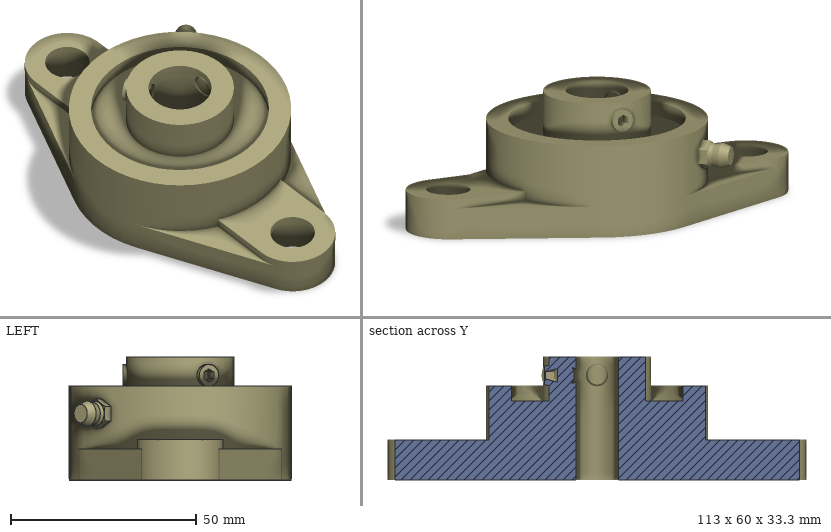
import cadquery as cq
import math

flange_length = 113.0
flange_thickness = 8.5
bolt_spacing = 90.0
bolt_hole_diameter = 12.0
pad_height = 11.0

housing_diameter = 60.0
housing_height = 25.5
recess_diameter = 48.0
recess_depth = 4.0

ring_diameter = 29.1
bore_diameter = 17.0
overall_height = 33.3

screw_diameter = 6.0
screw_angles = (90.0, 210.0)
screw_drop = 5.0
screw_outer_radius = 15.5
screw_inner_radius = 8.5
screw_tip_chamfer = 0.5
socket_across_flats = 3.0
socket_depth = 3.0

nipple_angle = 135.0
nipple_height = 18.0
nipple_root = 27.0
nipple_hex_end = 32.4
nipple_neck = 33.5
nipple_shoulder = 35.5
nipple_tip = 38.0
nipple_across_flats = 6.8
nipple_bevel_angle = 30.0
nipple_collar_diameter = 6.6
nipple_neck_diameter = 6.0
nipple_shoulder_diameter = 6.8
nipple_tip_diameter = 5.0
nipple_head_bulge = 0.1

bolt_offset = bolt_spacing / 2
ear_radius = flange_length / 2 - bolt_offset
housing_radius = housing_diameter / 2
recess_floor = housing_height - recess_depth
screw_height = overall_height - screw_drop


def radial_plane(angle, radius, height):
    """Plane facing outward at a given angle, with its local Y along +Z."""
    direction = (math.cos(math.radians(angle)), math.sin(math.radians(angle)))
    tangent = (-direction[1], direction[0], 0)
    origin = (radius * direction[0], radius * direction[1], height)
    return cq.Plane(origin=origin, xDir=tangent, normal=(direction[0], direction[1], 0))


def across_corners(across_flats):
    """Corner-to-corner size of a regular hexagon."""
    return across_flats / math.cos(math.pi / 6)


def hexagon(plane, across_flats, depth):
    """Hexagonal prism with two corners lying on the vertical through its axis."""
    return (
        cq.Workplane(plane)
        .transformed(rotate=(0, 0, 90))
        .polygon(6, across_corners(across_flats))
        .extrude(depth)
    )


def make_flange():
    """Plate with edges tangent to the housing and the ears, plus the raised ear pads."""
    lean_cos = (housing_radius - ear_radius) / bolt_offset
    lean_sin = math.sqrt(1 - lean_cos**2)
    hub_x = housing_radius * lean_cos
    hub_y = housing_radius * lean_sin
    ear_x = bolt_offset + ear_radius * lean_cos
    ear_y = ear_radius * lean_sin
    plate = (
        cq.Workplane("XY")
        .moveTo(hub_x, hub_y)
        .lineTo(ear_x, ear_y)
        .threePointArc((flange_length / 2, 0), (ear_x, -ear_y))
        .lineTo(hub_x, -hub_y)
        .lineTo(-hub_x, -hub_y)
        .lineTo(-ear_x, -ear_y)
        .threePointArc((-flange_length / 2, 0), (-ear_x, ear_y))
        .lineTo(-hub_x, hub_y)
        .close()
        .extrude(flange_thickness)
    )
    pads = cq.Workplane("XY").slot2D(flange_length, 2 * ear_radius).extrude(pad_height)
    return plate.union(pads)


def cut_bolt_holes(body):
    holes = (
        cq.Workplane("XY")
        .pushPoints([(-bolt_offset, 0), (bolt_offset, 0)])
        .circle(bolt_hole_diameter / 2)
        .extrude(pad_height)
    )
    return body.cut(holes)


def make_housing():
    """Cylindrical housing with a shallow recess around the inner ring."""
    housing = cq.Workplane("XY").circle(housing_radius).extrude(housing_height)
    recess = (
        cq.Workplane("XY")
        .workplane(offset=recess_floor)
        .circle(recess_diameter / 2)
        .extrude(recess_depth)
    )
    return housing.cut(recess)


def add_inner_ring(body):
    ring = cq.Workplane("XY").circle(ring_diameter / 2).extrude(overall_height)
    bore = cq.Workplane("XY").circle(bore_diameter / 2).extrude(overall_height)
    return body.union(ring).cut(bore)


def add_set_screw(body, angle):
    """Socket set screw in a radial hole, standing slightly proud of the ring."""
    hole_plane = radial_plane(angle, 0, screw_height)
    hole = cq.Workplane(hole_plane).circle(screw_diameter / 2).extrude(screw_outer_radius)
    screw_plane = radial_plane(angle, screw_inner_radius, screw_height)
    screw = (
        cq.Workplane(screw_plane)
        .circle(screw_diameter / 2)
        .extrude(screw_outer_radius - screw_inner_radius)
        .faces(cq.selectors.NearestToPointSelector(screw_plane.origin.toTuple()))
        .chamfer(screw_tip_chamfer)
    )
    socket_plane = radial_plane(angle, screw_outer_radius - socket_depth, screw_height)
    socket = hexagon(socket_plane, socket_across_flats, socket_depth)
    return body.cut(hole).union(screw.cut(socket))


def add_grease_nipple(body):
    """Hexagonal base carrying a turned head with a waisted neck."""
    base_plane = radial_plane(nipple_angle, nipple_root, nipple_height)
    base_length = nipple_hex_end - nipple_root
    corner_diameter = across_corners(nipple_across_flats)
    corner_bevel = (corner_diameter - nipple_across_flats) / 2
    outer_centre = base_plane.toWorldCoords((0, 0, base_length)).toTuple()
    bevelled_blank = (
        cq.Workplane(base_plane)
        .circle(corner_diameter / 2)
        .extrude(base_length)
        .faces(cq.selectors.NearestToPointSelector(outer_centre))
        .chamfer(corner_bevel * math.tan(math.radians(nipple_bevel_angle)), corner_bevel)
    )
    base = hexagon(base_plane, nipple_across_flats, base_length).intersect(bevelled_blank)
    head_middle = (nipple_shoulder + nipple_tip) / 2
    head_middle_radius = (nipple_shoulder_diameter + nipple_tip_diameter) / 4 + nipple_head_bulge
    head = (
        cq.Workplane("XY")
        .moveTo(nipple_root, 0)
        .lineTo(nipple_root, nipple_collar_diameter / 2)
        .lineTo(nipple_hex_end, nipple_collar_diameter / 2)
        .lineTo(nipple_neck, nipple_neck_diameter / 2)
        .lineTo(nipple_shoulder, nipple_shoulder_diameter / 2)
        .threePointArc((head_middle, head_middle_radius), (nipple_tip, nipple_tip_diameter / 2))
        .lineTo(nipple_tip, 0)
        .close()
        .revolve(360, (0, 0, 0), (1, 0, 0))
        .rotate((0, 0, 0), (0, 0, 1), nipple_angle)
        .translate((0, 0, nipple_height))
    )
    return body.union(base).union(head)


unit = cut_bolt_holes(make_flange())
unit = unit.union(make_housing())
unit = add_inner_ring(unit)
for screw_angle in screw_angles:
    unit = add_set_screw(unit, screw_angle)
result = add_grease_nipple(unit)